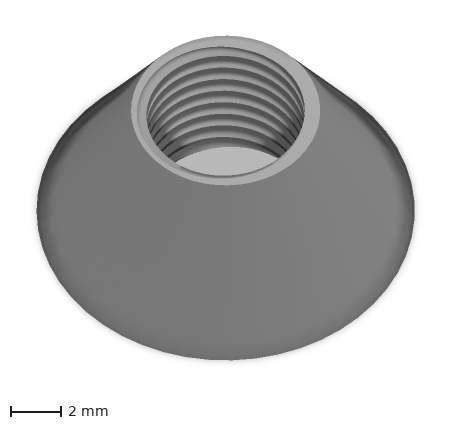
import cadquery as cq
import math

base_diameter = 15.0
top_diameter = 7.5
height = 6.5

minor_diameter = 6.28
major_diameter = 7.12
pitch = 0.75
crest_width = pitch / 4
flank_angle = 30.0
root_angle_at_top = -90.0

end_turns = 2
bore_overlap = 0.05


def make_body():
    """Truncated cone standing on the XY plane."""
    return cq.Workplane(obj=cq.Solid.makeCone(base_diameter / 2, top_diameter / 2, height))


def make_bore():
    """Through hole at the thread's minor diameter."""
    return cq.Workplane("XY").circle(minor_diameter / 2).extrude(height)


def make_thread_groove():
    """Helical trapezoidal groove between the minor and major diameters."""
    minor_radius = minor_diameter / 2
    major_radius = major_diameter / 2
    inner_radius = minor_radius - bore_overlap
    flank_slope = math.tan(math.radians(flank_angle))

    mouth_half = (pitch - crest_width) / 2
    root_half = mouth_half - (major_radius - minor_radius) * flank_slope
    inner_half = mouth_half + bore_overlap * flank_slope

    turns_in_body = math.ceil(height / pitch)
    groove_length = (turns_in_body + 2 * end_turns) * pitch
    path = cq.Wire.makeHelix(pitch, groove_length, minor_radius)
    groove = (
        cq.Workplane("XZ")
        .polyline([
            (inner_radius, -inner_half),
            (major_radius, -root_half),
            (major_radius, root_half),
            (inner_radius, inner_half),
        ])
        .close()
        .sweep(cq.Workplane(obj=path), isFrenet=True)
    )

    start_z = height - (turns_in_body + end_turns) * pitch
    return groove.rotate((0, 0, 0), (0, 0, 1), root_angle_at_top).translate((0, 0, start_z))


result = make_body().cut(make_thread_groove()).cut(make_bore())